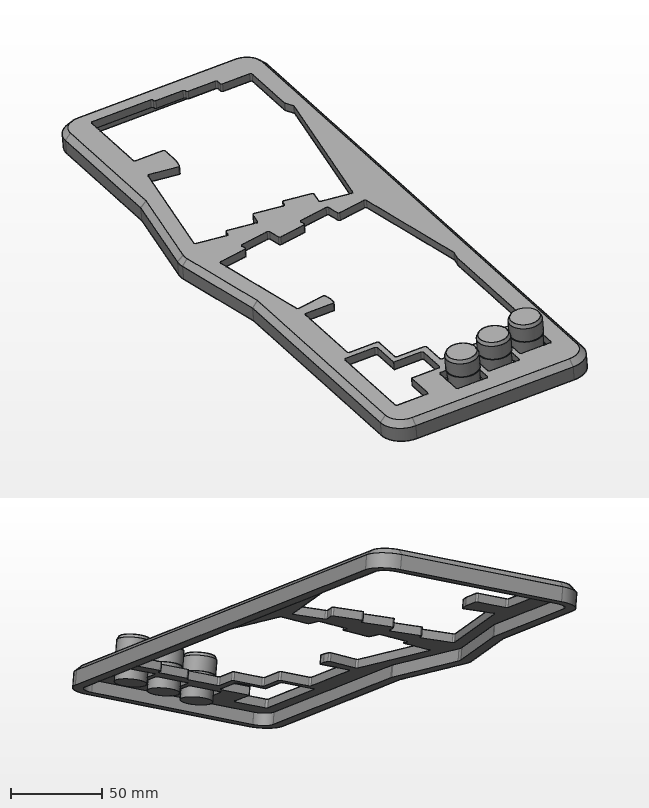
import cadquery as cq
import math

TYPING_TILT = 5.0
SPLIT_ANGLE = 10.0
KEY = 19.05
GAP = 0.375
OPENING_ROUND = 1.0
RAMP_LENGTH = 5.5

FRAME_LENGTH = 378.99
FRAME_HEIGHT = 12.0
RIM_CHAMFER = 3.5
CORNER_RADIUS = 14.3
REAR_Y = 68.69
FRONT_Y = -59.32
POINT_X = -29.2
POINT_HALF_WIDTH = 62.2
POINT_RADIUS = 16.0
PLATE_THICKNESS = 5.0
RIM_WIDTH = 6.0

OUTER_REAR_Y = 54.57
LEFT_ROW_ENDS = [-168.5, -173.25, -175.6, -178.0, -178.0]
RIGHT_ROW_ENDS = [137.1, 141.85, 144.25, 127.7, 108.3]
FRONT_GROUP = 2.5 * KEY + 2 * GAP
LEFT_INNER_END = -114.0
RIGHT_INNER_END = 50.0

LEFT_BLOCK_REAR_Y = 34.65
LEFT_BLOCK_ENDS = [-36.8, -46.35, -41.6, -32.05, -27.3]
LEFT_BLOCK_OUTER_END = -134.0
LEFT_SPACEBAR_GROUP = 4 * KEY + 2 * GAP
RIGHT_BLOCK_REAR_Y = 45.35
RIGHT_BLOCK_ENDS = [-12.65, -22.2, -17.45, -26.95, -22.2]
RIGHT_BLOCK_OUTER_END = 64.0
RIGHT_SPACEBAR_GROUP = 3.5 * KEY + 2 * GAP

ARROW_X = 141.3
ARROW_FRONT_Y = -46.3
ARROW_FOOT_LENGTH = 3 * KEY + 2 * GAP
ARROW_FOOT_DEPTH = KEY + 4 * GAP
ARROW_STEM_REAR_Y = -7.45
ARROW_ROUND = 1.2

KNOB_COUNT = 3
KNOB_FIRST_X = 155.7
KNOB_FIRST_Y = 44.75
KNOB_STEP_X = 5.0
KNOB_STEP_Y = 1.2 * KEY
KNOB_OPENING = KEY + 2 * GAP
KNOB_DIAMETER = 19.0
KNOB_BASE_DIAMETER = 18.0
KNOB_TOP_Z = 15.5
KNOB_STEP_Z = 4.75
KNOB_CHAMFER_WIDTH = 1.0
KNOB_CHAMFER_HEIGHT = 2.0
KNOB_BOTTOM_Z = -10.0

knob_places = [
    (KNOB_FIRST_X + i * KNOB_STEP_X, KNOB_FIRST_Y - i * KNOB_STEP_Y)
    for i in range(KNOB_COUNT)
]


def tilt(body):
    return body.rotate((0, 0, 0), (1, 0, 0), TYPING_TILT)


def opening_box(x_start, x_end, y_front, y_rear):
    """Block that cuts through the full plate thickness."""
    return (
        cq.Workplane("XY")
        .workplane(offset=-FRAME_HEIGHT)
        .center((x_start + x_end) / 2, (y_front + y_rear) / 2)
        .rect(x_end - x_start, y_rear - y_front)
        .extrude(2 * FRAME_HEIGHT)
    )


def key_block(spans, rear_y):
    """Joined openings of the key rows; spans holds the X start and end of each row."""
    block = cq.Workplane("XY")
    for row, (x_start, x_end) in enumerate(spans):
        row_rear = rear_y - row * KEY
        block = block.union(opening_box(x_start, x_end, row_rear - KEY - 2 * GAP, row_rear))
    return block


def key_opening(outer_spans, turned_spans, turned_rear_y, peak_x, turn):
    """One half's opening: unturned rows, the turned block, and a ramp to the block's outer rear corner."""
    turned_block = key_block(turned_spans, turned_rear_y).rotate((0, 0, 0), (0, 0, 1), turn)
    cosine = math.cos(math.radians(turn))
    sine = math.sin(math.radians(turn))
    peak = (peak_x * cosine - turned_rear_y * sine, peak_x * sine + turned_rear_y * cosine)
    ramp_foot = (peak[0] + math.copysign(RAMP_LENGTH, peak_x), OUTER_REAR_Y)
    ramp = (
        cq.Workplane("XY")
        .workplane(offset=-FRAME_HEIGHT)
        .polyline([peak, ramp_foot, (peak[0], OUTER_REAR_Y - KEY / 2)])
        .close()
        .extrude(2 * FRAME_HEIGHT)
    )
    opening = key_block(outer_spans, OUTER_REAR_Y).union(turned_block).union(ramp).clean()
    return opening.edges("|Z").fillet(OPENING_ROUND)


def left_opening():
    outer = [(x, LEFT_INNER_END) for x in LEFT_ROW_ENDS[:-1]]
    outer.append((LEFT_ROW_ENDS[-1], LEFT_ROW_ENDS[-1] + FRONT_GROUP))
    turned = [(LEFT_BLOCK_OUTER_END, x) for x in LEFT_BLOCK_ENDS[:-1]]
    turned.append((LEFT_BLOCK_ENDS[-1] - LEFT_SPACEBAR_GROUP, LEFT_BLOCK_ENDS[-1]))
    return key_opening(outer, turned, LEFT_BLOCK_REAR_Y, LEFT_BLOCK_OUTER_END, -SPLIT_ANGLE)


def right_opening():
    outer = [(RIGHT_INNER_END, x) for x in RIGHT_ROW_ENDS[:-1]]
    outer.append((RIGHT_ROW_ENDS[-1] - FRONT_GROUP, RIGHT_ROW_ENDS[-1]))
    turned = [(x, RIGHT_BLOCK_OUTER_END) for x in RIGHT_BLOCK_ENDS[:-1]]
    turned.append((RIGHT_BLOCK_ENDS[-1], RIGHT_BLOCK_ENDS[-1] + RIGHT_SPACEBAR_GROUP))
    return key_opening(outer, turned, RIGHT_BLOCK_REAR_Y, RIGHT_BLOCK_OUTER_END, SPLIT_ANGLE)


def arrow_opening():
    half_foot = ARROW_FOOT_LENGTH / 2
    half_stem = (KEY + 2 * GAP) / 2
    foot_rear = ARROW_FRONT_Y + ARROW_FOOT_DEPTH
    foot = opening_box(ARROW_X - half_foot, ARROW_X + half_foot, ARROW_FRONT_Y, foot_rear)
    foot = foot.edges("|Z").fillet(ARROW_ROUND)
    stem = opening_box(
        ARROW_X - half_stem, ARROW_X + half_stem, foot_rear - ARROW_FOOT_DEPTH / 2, ARROW_STEM_REAR_Y
    )
    stem = stem.edges("|Z and >Y").fillet(ARROW_ROUND)
    return foot.union(stem)


def knob_openings():
    return (
        cq.Workplane("XY")
        .workplane(offset=-FRAME_HEIGHT)
        .pushPoints(knob_places)
        .rect(KNOB_OPENING, KNOB_OPENING)
        .extrude(2 * FRAME_HEIGHT)
        .edges("|Z")
        .fillet(OPENING_ROUND)
    )


def edge_near(x, y):
    """Selector for the vertical frame edge at the given place."""
    reach = CORNER_RADIUS / 4
    return cq.selectors.BoxSelector((x - reach, y - reach, -FRAME_HEIGHT), (x + reach, y + reach, 0))


def frame_blank():
    """Rounded rectangle whose front edge swells into a blunt point."""
    half_length = FRAME_LENGTH / 2
    point_y = FRONT_Y - POINT_HALF_WIDTH * math.tan(math.radians(SPLIT_ANGLE))
    rear_corners = [(-half_length, REAR_Y), (half_length, REAR_Y)]
    front_corners = [(half_length, FRONT_Y), (-half_length, FRONT_Y)]
    point = [
        (POINT_X + POINT_HALF_WIDTH, FRONT_Y),
        (POINT_X, point_y),
        (POINT_X - POINT_HALF_WIDTH, FRONT_Y),
    ]
    blank = (
        cq.Workplane("XY")
        .workplane(offset=-FRAME_HEIGHT)
        .polyline(rear_corners + front_corners[:1] + point + front_corners[1:])
        .close()
        .extrude(FRAME_HEIGHT)
    )
    for x, y in rear_corners + front_corners:
        blank = blank.edges(edge_near(x, y)).fillet(CORNER_RADIUS)
    return blank.edges(edge_near(POINT_X, point_y)).fillet(POINT_RADIUS)


def underside_pocket(blank):
    """Hollow below the plate, leaving a rim of constant width."""
    return (
        blank.faces("<Z")
        .wires()
        .toPending()
        .offset2D(-RIM_WIDTH)
        .extrude(FRAME_HEIGHT - PLATE_THICKNESS, combine=False)
    )


def make_frame():
    blank = frame_blank()
    frame = blank.faces(">Z").chamfer(RIM_CHAMFER).cut(underside_pocket(blank))
    for opening in (left_opening(), right_opening(), arrow_opening(), knob_openings()):
        frame = frame.cut(opening)
    return frame


def make_knob(x, y):
    base = (
        cq.Workplane("XY")
        .workplane(offset=KNOB_BOTTOM_Z)
        .circle(KNOB_BASE_DIAMETER / 2)
        .extrude(KNOB_STEP_Z - KNOB_BOTTOM_Z)
    )
    grip = (
        cq.Workplane("XY")
        .workplane(offset=KNOB_STEP_Z)
        .circle(KNOB_DIAMETER / 2)
        .extrude(KNOB_TOP_Z - KNOB_STEP_Z)
        .faces(">Z")
        .chamfer(KNOB_CHAMFER_HEIGHT, KNOB_CHAMFER_WIDTH)
    )
    return base.union(grip).translate((x, y, 0))


frame = tilt(make_frame())
knobs = [tilt(make_knob(x, y)) for x, y in knob_places]

result = cq.Compound.makeCompound([*frame.solids().vals(), *[knob.solids().val() for knob in knobs]])